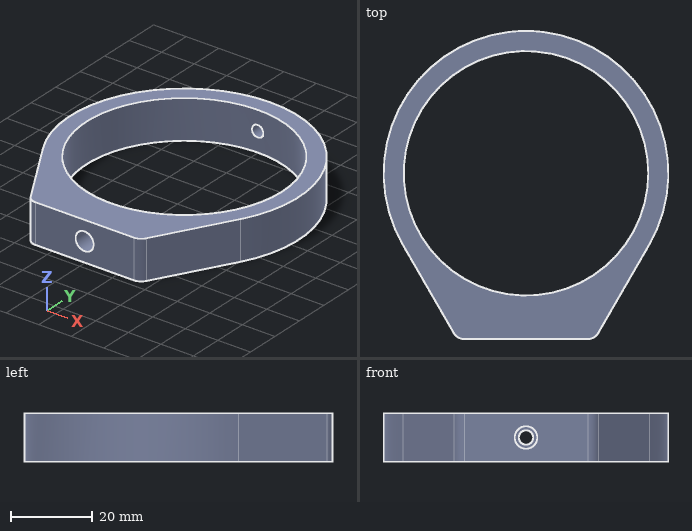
import cadquery as cq
import math

outer_diameter = 70.0
bore_diameter = 60.0
total_length = 75.75
thickness = 12.0
flank_angle = 30.0
corner_radius = 3.0
front_hole_diameter = 5.5
rear_hole_diameter = 3.5

outer_radius = outer_diameter / 2
foot_y = outer_radius - total_length
angle = math.radians(flank_angle)
tangent_x = outer_radius * math.cos(angle)
tangent_y = -outer_radius * math.sin(angle)
foot_half_width = (outer_radius + foot_y * math.sin(angle)) / math.cos(angle)


def make_body():
    """Ring outline with flanks running tangentially down to a flat foot."""
    body = (
        cq.Workplane("XY")
        .moveTo(-foot_half_width, foot_y)
        .lineTo(foot_half_width, foot_y)
        .lineTo(tangent_x, tangent_y)
        .threePointArc((0, outer_radius), (-tangent_x, tangent_y))
        .close()
        .extrude(thickness)
    )
    return body.edges("|Z").edges("<Y").fillet(corner_radius)


def make_cross_hole(diameter, start_y, end_y):
    """Cylinder along Y at mid thickness, between two Y positions."""
    return cq.Workplane(
        cq.Solid.makeCylinder(
            diameter / 2,
            end_y - start_y,
            cq.Vector(0, start_y, thickness / 2),
            cq.Vector(0, 1, 0),
        )
    )


bore = cq.Workplane("XY").circle(bore_diameter / 2).extrude(thickness)

front_hole = make_cross_hole(front_hole_diameter, foot_y, 0)
rear_hole = make_cross_hole(rear_hole_diameter, 0, outer_radius)

result = make_body().cut(bore).cut(front_hole).cut(rear_hole)